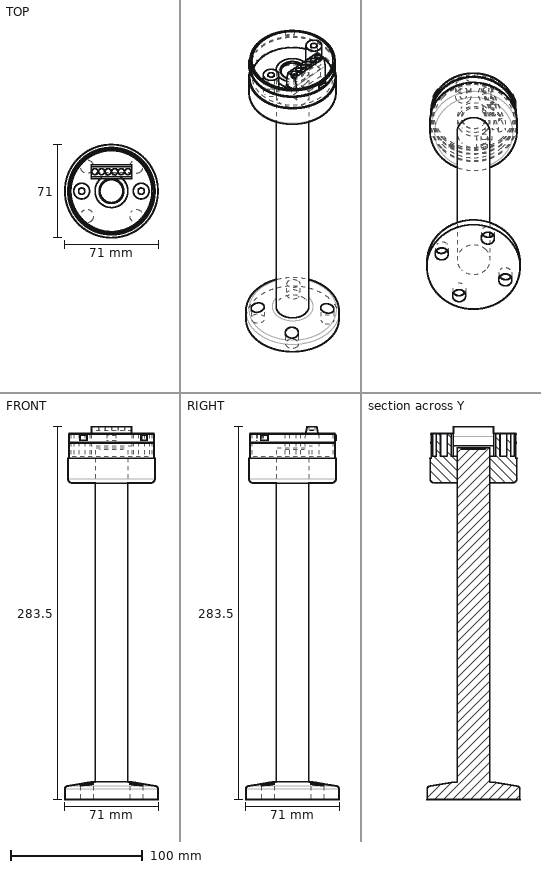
import cadquery as cq
import math

flange_radius = 35.5
flange_rim_height = 10.5
flange_rim_fillet = 2.3
flange_height = 13.5
flange_collar_radius = 15.5
flange_hole_radius = 5.0
flange_hole_circle_radius = 26.5
flange_hole_count = 4
first_flange_hole_angle = 45.0
pole_radius = 12.5
pole_top = 267.5
recess_depth = 1.2
recess_mouth_radius = 9.4
recess_floor_radius = 8.7

head_bottom = 240.5
head_bottom_fillet = 3.5
head_lower_radius = 33.2
head_shoulder = 259.4
head_upper_radius = 32.4
head_top = 278.2
head_inner_radius = 30.8
head_floor = 261.0
rim_edge_chamfer = 0.4
groove_bottom = 270.9
groove_height = 0.8
groove_depth = 0.3

boss_radius = 6.0
boss_hole_radius = 2.4
boss_offset = 22.6

lug_angles = (90.0, -40.5, -130.5)
lug_span = 12.0
lug_radius = 33.2
lug_bottom = 272.9
lug_top = 277.0

block_length = 30.6
block_top = 283.5
block_shoulder = 276.0
block_underside = 269.0
block_front = 9.5
block_back = 20.0
block_top_front = 11.1
block_top_back = 18.5
block_foot_front = 14.5
terminal_count = 6
terminal_pitch = 5.0
terminal_radius = 2.3
terminal_depth = 3.0


def revolve_about_z(profile):
    """Revolve a closed XZ profile a full turn about the Z axis."""
    return profile.revolve(360, (0, 0, 0), (0, 1, 0))


def cylinder(radius, bottom, top):
    """Upright cylinder on the Z axis between two heights."""
    return cq.Workplane("XY").workplane(offset=bottom).circle(radius).extrude(top - bottom)


def make_stand():
    """Flange with a conical top, carrying the pole with a shallow dished end."""
    profile = (
        cq.Workplane("XZ")
        .moveTo(0, 0)
        .lineTo(flange_radius, 0)
        .lineTo(flange_radius, flange_rim_height - flange_rim_fillet)
        .radiusArc((flange_radius - flange_rim_fillet, flange_rim_height), -flange_rim_fillet)
        .lineTo(flange_collar_radius, flange_height)
        .lineTo(pole_radius, flange_height)
        .lineTo(pole_radius, pole_top)
        .lineTo(recess_mouth_radius, pole_top)
        .lineTo(recess_floor_radius, pole_top - recess_depth)
        .lineTo(0, pole_top - recess_depth)
        .close()
    )
    mounting_holes = (
        cq.Workplane("XY")
        .polarArray(flange_hole_circle_radius, first_flange_hole_angle, 360, flange_hole_count)
        .circle(flange_hole_radius)
        .extrude(flange_height)
    )
    return revolve_about_z(profile).cut(mounting_holes)


def make_shell():
    """Stepped cup with a rounded lower edge and a socket for the pole."""
    profile = (
        cq.Workplane("XZ")
        .moveTo(pole_radius, head_bottom)
        .lineTo(head_lower_radius - head_bottom_fillet, head_bottom)
        .radiusArc((head_lower_radius, head_bottom + head_bottom_fillet), -head_bottom_fillet)
        .lineTo(head_lower_radius, head_shoulder)
        .lineTo(head_upper_radius, head_shoulder)
        .lineTo(head_upper_radius, head_top - rim_edge_chamfer)
        .lineTo(head_upper_radius - rim_edge_chamfer, head_top)
        .lineTo(head_inner_radius, head_top)
        .lineTo(head_inner_radius, head_floor)
        .lineTo(pole_radius, head_floor)
        .close()
    )
    groove_top = groove_bottom + groove_height
    groove = cylinder(head_lower_radius, groove_bottom, groove_top).cut(
        cylinder(head_upper_radius - groove_depth, groove_bottom, groove_top)
    )
    return revolve_about_z(profile).cut(groove)


def make_screw_boss(x):
    """Boss standing on the head floor, with its screw hole."""
    return (
        cq.Workplane("XY")
        .workplane(offset=head_floor)
        .center(x, 0)
        .circle(boss_radius)
        .circle(boss_hole_radius)
        .extrude(head_top - head_floor)
    )


def make_lug(angle):
    """Sector-shaped lug that stands out from the rim, rooted in the wall."""
    half_span = math.radians(lug_span / 2)
    root_radius = (head_inner_radius + head_upper_radius) / 2

    def arc_point(radius, turn):
        return (radius * math.cos(turn), radius * math.sin(turn))

    lug = (
        cq.Workplane("XY")
        .workplane(offset=lug_bottom)
        .moveTo(*arc_point(root_radius, -half_span))
        .lineTo(*arc_point(lug_radius, -half_span))
        .threePointArc((lug_radius, 0), arc_point(lug_radius, half_span))
        .lineTo(*arc_point(root_radius, half_span))
        .threePointArc((root_radius, 0), arc_point(root_radius, -half_span))
        .close()
        .extrude(lug_top - lug_bottom)
    )
    return lug.rotate((0, 0, 0), (0, 0, 1), angle)


def make_head():
    head = make_shell()
    for side in (-1, 1):
        head = head.union(make_screw_boss(side * boss_offset))
    for angle in lug_angles:
        head = head.union(make_lug(angle))
    return head


def make_terminal_block():
    """Block with a tapered upper part, a foot on the head floor and a row of wire holes."""
    block = (
        cq.Workplane("YZ")
        .moveTo(block_foot_front, head_floor)
        .lineTo(block_back, head_floor)
        .lineTo(block_back, block_shoulder)
        .lineTo(block_top_back, block_top)
        .lineTo(block_top_front, block_top)
        .lineTo(block_front, block_shoulder)
        .lineTo(block_front, block_underside)
        .lineTo(block_foot_front, block_underside)
        .close()
        .extrude(block_length / 2, both=True)
    )
    wire_holes = (
        cq.Workplane("XY")
        .workplane(offset=block_top - terminal_depth)
        .center(0, (block_top_front + block_top_back) / 2)
        .rarray(terminal_pitch, terminal_pitch, terminal_count, 1)
        .circle(terminal_radius)
        .extrude(terminal_depth)
    )
    return block.cut(wire_holes)


stand = make_stand()
head = make_head()
terminal_block = make_terminal_block()

result = cq.Compound.makeCompound([stand.val(), head.val(), terminal_block.val()])